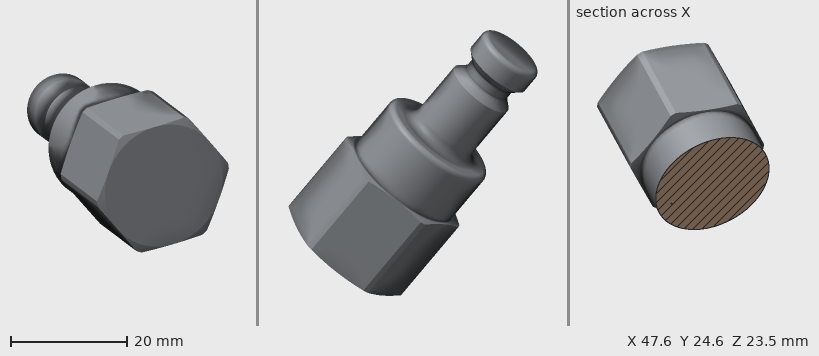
import cadquery as cq
import math

total_length = 47.6
nut_length = 17.0
shoulder_start = 20.4
groove_floor_start = 5.6
groove_floor_width = 1.7

plug_diameter = 11.95
groove_diameter = 8.9
body_diameter = 21.0
tip_radius = 1.0
neck_radius = 1.8
shoulder_radius = 1.0

across_flats = 22.0
corner_diameter = 24.8
flat_turn_angle = 39.0
chamfer_angle = 15.0

nut_start = total_length - nut_length
plug_r = plug_diameter / 2
groove_r = groove_diameter / 2
body_r = body_diameter / 2
groove_depth = plug_r - groove_r
groove_start = groove_floor_start - groove_depth
groove_floor_end = groove_floor_start + groove_floor_width
groove_end = groove_floor_end + groove_depth
diagonal = math.sqrt(0.5)


def rounded_corner(profile, center, radius, x_side, r_side, end):
    """Add a quarter arc whose middle lies on the given diagonal side of its center."""
    middle = (
        center[0] + x_side * radius * diagonal,
        center[1] + r_side * radius * diagonal,
    )
    return profile.threePointArc(middle, end)


def make_turned_body():
    """Plug with its locking groove and the wider body behind it."""
    profile = cq.Workplane("XY").lineTo(0, plug_r - tip_radius)
    tip_center = (tip_radius, plug_r - tip_radius)
    profile = rounded_corner(profile, tip_center, tip_radius, -1, 1, (tip_radius, plug_r))
    profile = (
        profile.lineTo(groove_start, plug_r)
        .lineTo(groove_floor_start, groove_r)
        .lineTo(groove_floor_end, groove_r)
        .lineTo(groove_end, plug_r)
        .lineTo(shoulder_start - neck_radius, plug_r)
    )
    neck_center = (shoulder_start - neck_radius, plug_r + neck_radius)
    neck_end = (shoulder_start, plug_r + neck_radius)
    profile = rounded_corner(profile, neck_center, neck_radius, 1, -1, neck_end)
    profile = profile.lineTo(shoulder_start, body_r - shoulder_radius)
    shoulder_center = (shoulder_start + shoulder_radius, body_r - shoulder_radius)
    shoulder_end = (shoulder_start + shoulder_radius, body_r)
    profile = rounded_corner(profile, shoulder_center, shoulder_radius, -1, 1, shoulder_end)
    profile = profile.lineTo(total_length, body_r).lineTo(total_length, 0).close()
    return profile.revolve(360, (0, 0, 0), (1, 0, 0))


def make_nut():
    """Hexagon with its corners turned down and both ends chamfered."""
    hexagon = (
        cq.Workplane("YZ")
        .workplane(offset=nut_start)
        .polygon(6, across_flats, circumscribed=True)
        .extrude(nut_length)
        .rotate((0, 0, 0), (1, 0, 0), flat_turn_angle)
    )
    chamfer_height = (corner_diameter - across_flats) / 2
    chamfer_length = chamfer_height * math.tan(math.radians(chamfer_angle))
    envelope = (
        cq.Workplane("XY")
        .moveTo(nut_start, 0)
        .lineTo(nut_start, across_flats / 2)
        .lineTo(nut_start + chamfer_length, corner_diameter / 2)
        .lineTo(total_length - chamfer_length, corner_diameter / 2)
        .lineTo(total_length, across_flats / 2)
        .lineTo(total_length, 0)
        .close()
        .revolve(360, (0, 0, 0), (1, 0, 0))
    )
    return hexagon.intersect(envelope)


result = make_turned_body().union(make_nut())